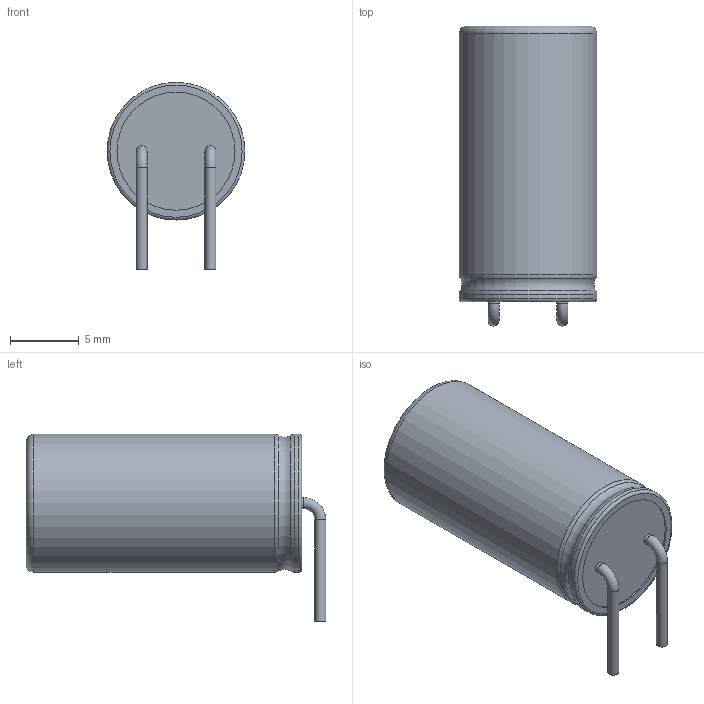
import cadquery as cq
import math

can_diameter = 10.0
can_length = 20.0
closed_end_fillet = 0.55
rim_fillet = 0.2

groove_centre = 1.25
groove_depth = 0.2
groove_radius = 0.8
groove_shoulder_radius = 0.6

seal_diameter = 8.57
seal_recess = 0.1

lead_diameter = 0.8
lead_embedment = 0.2
lead_pitch = 5.0
lead_stub = 0.15
lead_bend_radius = 1.2
lead_tip_z = -8.6

can_radius = can_diameter / 2


def make_can():
    """Revolve the half profile; local x is the radius, local y runs along the can."""
    centre_distance = groove_radius + groove_shoulder_radius
    shoulder_radial = can_radius - groove_shoulder_radius
    groove_radial = can_radius - groove_depth + groove_radius
    half_width = math.sqrt(centre_distance**2 - (groove_radial - shoulder_radial) ** 2)
    tangent_half_width = half_width * groove_radius / centre_distance
    tangent_radial = groove_radial - (groove_radial - shoulder_radial) * groove_radius / centre_distance

    shoulder_mid_angle = math.asin(half_width / centre_distance) / 2
    shoulder_mid_radial = shoulder_radial + groove_shoulder_radius * math.cos(shoulder_mid_angle)
    shoulder_mid_offset = half_width - groove_shoulder_radius * math.sin(shoulder_mid_angle)

    can = (
        cq.Workplane("XY")
        .lineTo(can_radius, 0)
        .lineTo(can_radius, groove_centre - half_width)
        .threePointArc(
            (shoulder_mid_radial, groove_centre - shoulder_mid_offset),
            (tangent_radial, groove_centre - tangent_half_width),
        )
        .threePointArc(
            (can_radius - groove_depth, groove_centre),
            (tangent_radial, groove_centre + tangent_half_width),
        )
        .threePointArc(
            (shoulder_mid_radial, groove_centre + shoulder_mid_offset),
            (can_radius, groove_centre + half_width),
        )
        .lineTo(can_radius, can_length)
        .lineTo(0, can_length)
        .close()
        .revolve(360, (0, 0), (0, 1))
    )
    can = can.faces("<Y").edges().fillet(rim_fillet)
    return can.faces(">Y").edges().fillet(closed_end_fillet)


def cut_seal_recess(can):
    recess = cq.Workplane("XZ").circle(seal_diameter / 2).extrude(-seal_recess)
    return can.cut(recess)


def make_lead(x):
    """Sweep one lead from inside the can, out through the seal and down."""
    bend_start_y = -lead_stub
    shank_y = bend_start_y - lead_bend_radius
    diagonal = lead_bend_radius * math.sqrt(0.5)
    path = (
        cq.Workplane("YZ", origin=(x, 0, 0))
        .moveTo(lead_embedment, 0)
        .lineTo(bend_start_y, 0)
        .threePointArc(
            (bend_start_y - diagonal, diagonal - lead_bend_radius),
            (shank_y, -lead_bend_radius),
        )
        .lineTo(shank_y, lead_tip_z)
    )
    section = cq.Workplane("XZ", origin=(x, lead_embedment, 0)).circle(lead_diameter / 2)
    return section.sweep(path)


result = cut_seal_recess(make_can())
for side in (-1, 1):
    result = result.union(make_lead(side * lead_pitch / 2))